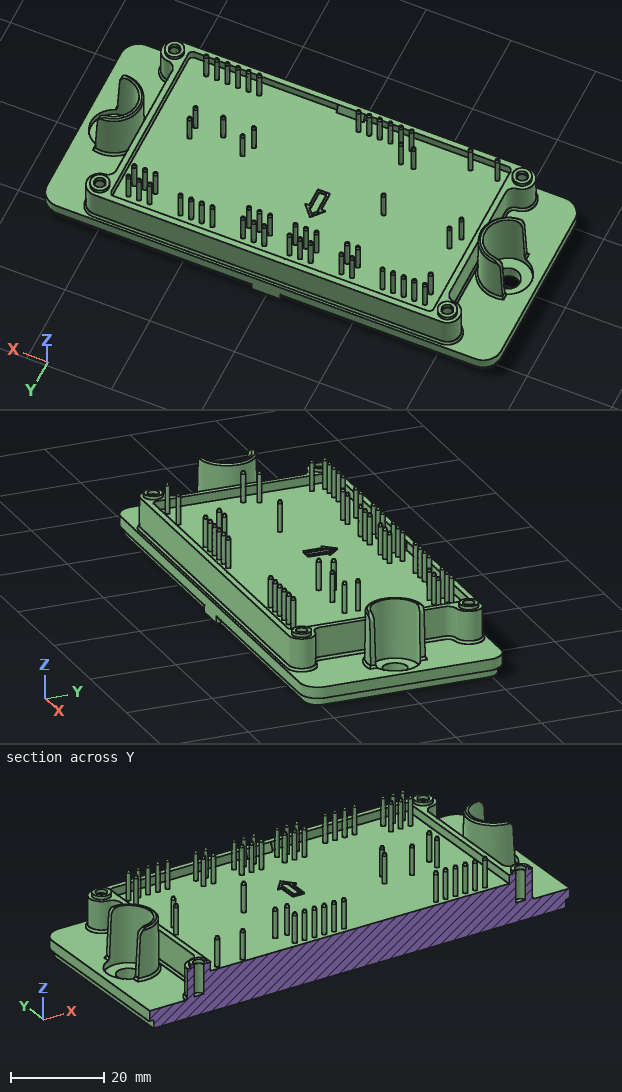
import cadquery as cq

FLANGE_LENGTH = 107.2
FLANGE_WIDTH = 47.0
FLANGE_CORNER_RADIUS = 4.25
BASE_INSET = 1.0
FLANGE_BOTTOM_Z = 2.0
FLANGE_TOP_Z = 4.6

TAB_LENGTH = 6.8
TAB_BOTTOM_Z = 0.3

MOUNT_X = 46.5
MOUNT_HOLE_DIAMETER = 5.5
MOUNT_RECESS_DIAMETER = 10.8
MOUNT_RECESS_Z = 3.0

POST_X = 41.0
POST_Y = 19.5
POST_RADIUS = 3.0
POST_BLEND_RADIUS = 2.0
FRAME_LENGTH = 78.7
FRAME_WIDTH = 2 * (POST_Y + POST_RADIUS)
FRAME_TOP_Z = 12.1
FOOT_WIDTH = 0.4
FOOT_HEIGHT = 0.6
FOOT_LAND = 0.02

POCKET_LENGTH = 76.0
POCKET_WIDTH = 42.1
POCKET_CORNER_RADIUS = 1.0
POCKET_FLOOR_Z = 10.0
WEDGE_LENGTH = 6.4
WEDGE_DEPTH = 0.68

BOSS_DIAMETER = 4.25
BOSS_TOP_Z = 12.9
SCREW_ENTRY_DIAMETER = 2.55
SCREW_ENTRY_DEPTH = 0.9
SCREW_HOLE_DIAMETER = 2.25
SCREW_HOLE_DEPTH = 8.0

COLLAR_BASE_RADIUS = 6.55
COLLAR_TOP_RADIUS = 6.4
COLLAR_INNER_RADIUS = MOUNT_RECESS_DIAMETER / 2
COLLAR_TOP_Z = 16.87
COLLAR_END_BASE_OFFSET = 1.55
COLLAR_END_TOP_OFFSET = 0.95
COLLAR_END_RADIUS = 1.9
COLLAR_RIM_CHAMFER = 0.4

PIN_DIAMETER = 1.0
PIN_TOP_Z = 17.18
PIN_TIP_DIAMETER = 0.5
PIN_TIP_HEIGHT = 0.55
PIN_EMBED_DEPTH = 0.5
PIN_PITCH = 2.5

BACK_ROW_Y = 18.05
SECOND_ROW_Y = 15.0
FRONT_ROW_Y = -18.0
PIN_ROWS = [
    (-35.04, BACK_ROW_Y, 5),
    (-17.84, BACK_ROW_Y, 2),
    (-8.09, BACK_ROW_Y, 3),
    (2.86, BACK_ROW_Y, 3),
    (15.11, BACK_ROW_Y, 4),
    (29.91, BACK_ROW_Y, 3),
    (-35.04, SECOND_ROW_Y, 1),
    (-17.84, SECOND_ROW_Y, 2),
    (-8.09, SECOND_ROW_Y, 3),
    (2.86, SECOND_ROW_Y, 3),
    (29.91, SECOND_ROW_Y, 3),
    (-15.59, FRONT_ROW_Y, 6),
    (20.36, FRONT_ROW_Y, 6),
]

SINGLE_PINS = [
    (-33.69, 2.2),
    (-35.04, -1.0),
    (-17.14, 0.0),
    (16.96, -1.85),
    (15.66, -4.8),
    (22.81, -4.65),
    (29.26, -1.4),
    (29.26, -4.5),
    (-17.94, -13.85),
    (-14.94, -13.9),
    (-35.64, -18.45),
    (-29.24, -18.6),
]

ARROW_X = -3.1
ARROW_TAIL_Y = 0.1
ARROW_NECK_Y = 4.7
ARROW_TIP_Y = 7.4
ARROW_SHAFT_WIDTH = 2.8
ARROW_HEAD_WIDTH = 4.7
ARROW_LINE_WIDTH = 0.55
ARROW_LINE_HEIGHT = 0.3


def block(length, width, bottom, top):
    """Box centred on the Z axis between two heights."""
    return cq.Workplane("XY").workplane(offset=bottom).rect(length, width).extrude(top - bottom)


def rounded_block(length, width, radius, bottom, top):
    """Box with rounded vertical corners."""
    return block(length, width, bottom, top).edges("|Z").fillet(radius)


def cylinders(points, diameter, bottom, top):
    """Equal upright cylinders at the given points."""
    plane = cq.Workplane("XY").workplane(offset=bottom)
    return plane.pushPoints(points).circle(diameter / 2).extrude(top - bottom)


def make_base():
    """Inset base plate, wider flange above it, and a tab on each long edge."""
    base = rounded_block(
        FLANGE_LENGTH - 2 * BASE_INSET,
        FLANGE_WIDTH - 2 * BASE_INSET,
        FLANGE_CORNER_RADIUS - BASE_INSET,
        0,
        FLANGE_BOTTOM_Z,
    )
    flange = rounded_block(
        FLANGE_LENGTH, FLANGE_WIDTH, FLANGE_CORNER_RADIUS, FLANGE_BOTTOM_Z, FLANGE_TOP_Z
    )
    tabs = block(TAB_LENGTH, FLANGE_WIDTH, TAB_BOTTOM_Z, FLANGE_BOTTOM_Z)
    return base.union(flange).union(tabs)


def frame_block(margin, top):
    """Solid frame outline, grown sideways by a margin, with blended necks between the posts."""
    height = top - FLANGE_TOP_Z
    post_radius = POST_RADIUS + margin
    frame = block(FRAME_LENGTH + 2 * margin, FRAME_WIDTH + 2 * margin, FLANGE_TOP_Z, top)
    post_bars = (
        cq.Workplane("XY")
        .workplane(offset=FLANGE_TOP_Z)
        .pushPoints([(0, -POST_Y), (0, POST_Y)])
        .slot2D(2 * (POST_X + post_radius), 2 * post_radius)
        .extrude(height)
    )
    neck_zone = cq.selectors.BoxSelector((-POST_X, -POST_Y, 0), (POST_X, POST_Y, top))
    return frame.union(post_bars).edges("|Z").edges(neck_zone).fillet(POST_BLEND_RADIUS - margin)


def make_frame():
    """Housing frame standing on a bevelled foot."""
    foot = frame_block(FOOT_WIDTH, FLANGE_TOP_Z + FOOT_HEIGHT)
    foot = foot.faces(">Z").chamfer(FOOT_HEIGHT - FOOT_LAND, FOOT_WIDTH - FOOT_LAND)
    return frame_block(0, FRAME_TOP_Z).union(foot)


def make_wedge():
    """Ramp on the +Y pocket wall, thickest at the pocket floor."""
    wall_y = POCKET_WIDTH / 2
    return (
        cq.Workplane("YZ")
        .workplane(offset=-WEDGE_LENGTH / 2)
        .moveTo(wall_y - WEDGE_DEPTH, POCKET_FLOOR_Z)
        .lineTo(wall_y, POCKET_FLOOR_Z)
        .lineTo(wall_y, FRAME_TOP_Z)
        .close()
        .extrude(WEDGE_LENGTH)
    )


def make_collar():
    """Horseshoe collar around the -X mounting hole, open toward -X."""
    rim_z = COLLAR_TOP_Z - COLLAR_RIM_CHAMFER
    foot_radius = COLLAR_BASE_RADIUS + FOOT_WIDTH
    ring = (
        cq.Workplane("XZ")
        .moveTo(COLLAR_INNER_RADIUS, FLANGE_TOP_Z)
        .lineTo(foot_radius, FLANGE_TOP_Z)
        .lineTo(COLLAR_BASE_RADIUS, FLANGE_TOP_Z + FOOT_HEIGHT)
        .lineTo(COLLAR_TOP_RADIUS, rim_z)
        .lineTo(COLLAR_TOP_RADIUS - COLLAR_RIM_CHAMFER, COLLAR_TOP_Z)
        .lineTo(COLLAR_INNER_RADIUS, COLLAR_TOP_Z)
        .close()
        .revolve(360, (0, 0, 0), (0, 1, 0))
    )
    kept_side = (
        cq.Workplane("XZ")
        .workplane(offset=-foot_radius)
        .moveTo(foot_radius, FLANGE_TOP_Z)
        .lineTo(-COLLAR_END_BASE_OFFSET - FOOT_WIDTH, FLANGE_TOP_Z)
        .lineTo(-COLLAR_END_BASE_OFFSET, FLANGE_TOP_Z + FOOT_HEIGHT)
        .lineTo(-COLLAR_END_TOP_OFFSET, COLLAR_TOP_Z)
        .lineTo(foot_radius, COLLAR_TOP_Z)
        .close()
        .extrude(2 * foot_radius)
        .edges("|Y")
        .edges(cq.selectors.NearestToPointSelector((-COLLAR_END_TOP_OFFSET, 0, COLLAR_TOP_Z)))
        .fillet(COLLAR_END_RADIUS)
    )
    return ring.intersect(kept_side).translate((-MOUNT_X, 0, 0))


def make_pin(x, y):
    """Round contact pin with a tapered tip, rooted in the pocket floor."""
    radius = PIN_DIAMETER / 2
    root_z = POCKET_FLOOR_Z - PIN_EMBED_DEPTH
    return (
        cq.Workplane("XZ")
        .moveTo(0, root_z)
        .lineTo(radius, root_z)
        .lineTo(radius, PIN_TOP_Z - PIN_TIP_HEIGHT)
        .lineTo(PIN_TIP_DIAMETER / 2, PIN_TOP_Z)
        .lineTo(0, PIN_TOP_Z)
        .close()
        .revolve(360, (0, 0, 0), (0, 1, 0))
        .translate((x, y, 0))
    )


def pin_positions():
    """All pin centres, with the rows expanded at the pin pitch."""
    row_pins = [(x + i * PIN_PITCH, y) for x, y, count in PIN_ROWS for i in range(count)]
    return row_pins + SINGLE_PINS


def make_arrow():
    """Arrow outline, pointing +Y, as a low rib on the pocket floor."""
    shaft = ARROW_SHAFT_WIDTH / 2
    head = ARROW_HEAD_WIDTH / 2
    outline = [
        (-shaft, ARROW_TAIL_Y),
        (shaft, ARROW_TAIL_Y),
        (shaft, ARROW_NECK_Y),
        (head, ARROW_NECK_Y),
        (0, ARROW_TIP_Y),
        (-head, ARROW_NECK_Y),
        (-shaft, ARROW_NECK_Y),
    ]
    arrow_plane = cq.Workplane("XY").workplane(offset=POCKET_FLOOR_Z).center(ARROW_X, 0)
    arrow = arrow_plane.polyline(outline).close()
    inside = arrow.offset2D(-ARROW_LINE_WIDTH, "intersection").extrude(ARROW_LINE_HEIGHT)
    return arrow_plane.polyline(outline).close().extrude(ARROW_LINE_HEIGHT).cut(inside)


mount_points = [(-MOUNT_X, 0), (MOUNT_X, 0)]
post_points = [(sx * POST_X, sy * POST_Y) for sx in (-1, 1) for sy in (-1, 1)]

collar = make_collar()
body = make_base().union(make_frame())
body = body.union(collar).union(collar.mirror("YZ"))
body = body.union(cylinders(post_points, BOSS_DIAMETER, FRAME_TOP_Z, BOSS_TOP_Z))

pocket = rounded_block(
    POCKET_LENGTH, POCKET_WIDTH, POCKET_CORNER_RADIUS, POCKET_FLOOR_Z, FRAME_TOP_Z
)
wedge = make_wedge()
pocket = pocket.cut(wedge).cut(wedge.mirror("XZ"))
body = body.cut(pocket).union(make_arrow())

body = body.cut(cylinders(mount_points, MOUNT_HOLE_DIAMETER, 0, FLANGE_TOP_Z))
body = body.cut(cylinders(mount_points, MOUNT_RECESS_DIAMETER, MOUNT_RECESS_Z, COLLAR_TOP_Z))
screw_bottom_z = BOSS_TOP_Z - SCREW_HOLE_DEPTH
screw_step_z = BOSS_TOP_Z - SCREW_ENTRY_DEPTH
body = body.cut(cylinders(post_points, SCREW_HOLE_DIAMETER, screw_bottom_z, BOSS_TOP_Z))
body = body.cut(cylinders(post_points, SCREW_ENTRY_DIAMETER, screw_step_z, BOSS_TOP_Z))

pins = [make_pin(x, y).val() for x, y in pin_positions()]
result = cq.Workplane("XY").newObject([body.val().fuse(*pins)])